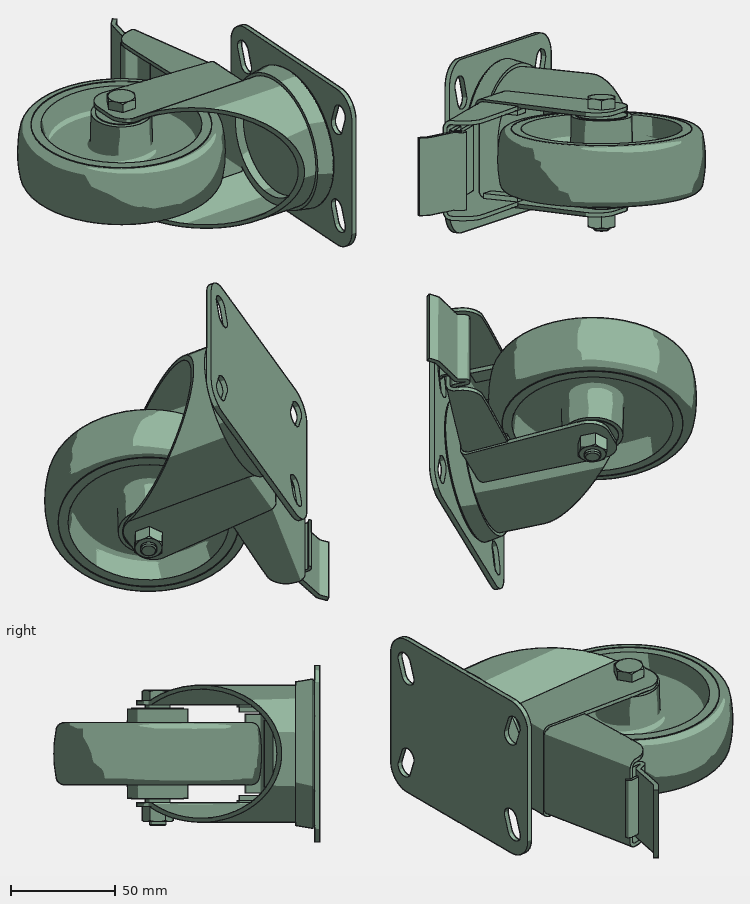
import cadquery as cq
import math


sheet = 2.0

plate_length = 100.0
plate_width = 85.0
plate_thickness = 2.5
plate_corner_radius = 12.0
slot_radius = 4.5
slot_outer = (40.0, 30.0)
slot_inner = (37.5, 22.5)

neck_diameter = 70.74
neck_length = 0.7
race_top_diameter = 72.0
race_bottom_diameter = 69.2
race_bottom_y = -11.6
shell_diameter = 66.0
cup_diameter = 54.0
leg_outer_z = 25.5
bridge_top_y = -14.2
bridge_bend_radius = 3.5
leg_top_x = -45.3
leg_widest = (-50.4, -78.0)
leg_bottom_y = -88.0
leg_corner_radius = 10.0
leg_bottom_x = (-40.4, -30.2)
slope_low = (-21.3, -82.2)
slope_high = (33.0, -18.3)

axle_x = -35.0
axle_y = -77.9
wheel_diameter = 100.0
wheel_width = 30.0
tread_edge_z = 12.0
tread_edge_radius = 48.8
tread_side_radius = 44.8
tread_bore = 87.0
rim_step_diameter = 86.8
rim_groove_depth = 0.4
rim_inner_diameter = 77.4
rim_draft = 1.3
rim_fillet = 3.2
web_half_thickness = 2.5
hub_root_radius = 15.0
hub_end_radius = 14.6
hub_fillet = 3.3
hub_end_z = 21.5
hub_boss_diameter = 25.0
hub_boss_z = 21.9

sleeve_diameter = 12.0
bolt_diameter = 8.0
bolt_tip_diameter = 6.65
hexagon_width = 13.0
hexagon_chamfer_angle = 30.0
head_height = 5.0
nut_height = 7.2
bolt_end_z = -34.6

arm_outer_z = 24.4
channel_front_x = -96.2
channel_front_y = -24.9
channel_rear_y = -14.5
channel_rear_x = leg_top_x
channel_bend_radius = 4.2
arm_front_low = (-95.1, -30.4)
arm_front_middle = (-92.4, -36.4)
arm_bottom_front = (-86.5, -39.8)
arm_bottom_mid_x = -78.3
arm_bottom_rear_y = -38.8
lug_inner_z = 20.0
lug_front_x = -48.0
lug_rear_x = -40.0
lug_top_y = -20.0
lug_bottom_y = -38.8

pedal_half_width = 19.0
pedal_tip = (-116.99, -23.2)
pedal_knee = (-113.3, -26.6)
pedal_dip = (-96.1, -30.1)
pedal_nose_front = (-94.5, -34.8)
pedal_nose_rear = (-92.2, -34.8)
pedal_bend_radii = [4.0, 1.25, 1.25, 1.25, 1.25]
pedal_thickness = 2.4
pedal_strip_rear_x = -81.4
shoe_half_width = 16.0
shoe_front_x = -83.0
shoe_rear_x = -62.5
shoe_thickness = 2.5
hook_thickness = 1.4
hook_path = [(-97.6, -29.5), (-97.9, -24.0), (-97.0, -22.1), (-96.1, -22.9)]
hook_bend_radii = [0.85, 0.8]

race_top_y = -plate_thickness - neck_length
shell_radius = shell_diameter / 2
pocket_radius = shell_radius - sheet
wheel_half_width = wheel_width / 2
tread_shoulder_rise = wheel_half_width - tread_edge_z
tread_shoulder_run = tread_edge_radius - tread_side_radius
tread_shoulder_radius = (tread_shoulder_run**2 + tread_shoulder_rise**2) / (2 * tread_shoulder_rise)
leg_inner_z = leg_outer_z - sheet
bridge_bottom_y = bridge_top_y - sheet
arm_inner_z = arm_outer_z - sheet
roof_slope = (channel_rear_y - channel_front_y) / (channel_rear_x - channel_front_x)
roof_drop = sheet * math.hypot(1, roof_slope)


def leg_edge_x(y):
    """X of the straight front edge of the fork legs at height y."""
    share = (y - bridge_top_y) / (leg_widest[1] - bridge_top_y)
    return leg_top_x + share * (leg_widest[0] - leg_top_x)


def roof_y(x):
    """Y of the top of the sloping brake channel roof at x."""
    return channel_front_y + roof_slope * (x - channel_front_x)


def cylinder_y(diameter, y_top, y_bottom):
    """Cylinder about the swivel axis."""
    plane = cq.Workplane("XZ", origin=(0, y_top, 0))
    return plane.circle(diameter / 2).extrude(y_top - y_bottom)


def block(x0, x1, y0, y1, z0, z1):
    """Axis-aligned block between the given limits."""
    return cq.Workplane("XY").box(x1 - x0, y1 - y0, z1 - z0, centered=False).translate((x0, y0, z0))


def bent_sheet(path, bend_radii, thickness, half_width):
    """Sheet of constant thickness along a path in XY, with one mid-plane radius for each bend."""

    def beside(point, heading, distance):
        return (point[0] - distance * math.sin(heading), point[1] + distance * math.cos(heading))

    headings = [math.atan2(q[1] - p[1], q[0] - p[0]) for p, q in zip(path, path[1:])]
    half = thickness / 2
    outline = cq.Workplane("XY").moveTo(*beside(path[0], headings[0], half))

    for way in (1, -1):
        points = path[::way]
        directions = headings if way == 1 else [h + math.pi for h in headings[::-1]]
        for i, radius in enumerate(bend_radii[::way]):
            heading_in = directions[i]
            turn = math.remainder(directions[i + 1] - heading_in, 2 * math.pi)
            trim = radius * math.tan(abs(turn) / 2)
            start = (
                points[i + 1][0] - trim * math.cos(heading_in),
                points[i + 1][1] - trim * math.sin(heading_in),
            )
            signed_radius = math.copysign(radius, turn)
            centre = beside(start, heading_in, signed_radius)
            side_radius = half - signed_radius
            outline = outline.lineTo(*beside(centre, heading_in, side_radius)).threePointArc(
                beside(centre, heading_in + turn / 2, side_radius),
                beside(centre, heading_in + turn, side_radius),
            )
        outline = outline.lineTo(*beside(points[-1], directions[-1], half))
        if way == 1:
            outline = outline.lineTo(*beside(points[-1], directions[-1], -half))
    return outline.close().extrude(half_width, both=True)


def make_plate():
    plate = (
        cq.Workplane("XZ")
        .rect(plate_length, plate_width)
        .extrude(plate_thickness)
        .edges("|Y")
        .fillet(plate_corner_radius)
    )
    middle_x = (slot_outer[0] + slot_inner[0]) / 2
    middle_z = (slot_outer[1] + slot_inner[1]) / 2
    run = slot_outer[0] - slot_inner[0]
    rise = slot_outer[1] - slot_inner[1]
    length = math.hypot(run, rise) + 2 * slot_radius
    angle = math.degrees(math.atan2(rise, run))
    for sx in (-1, 1):
        for sz in (-1, 1):
            slot = (
                cq.Workplane("XZ")
                .center(sx * middle_x, sz * middle_z)
                .slot2D(length, 2 * slot_radius, sx * sz * angle)
                .extrude(plate_thickness)
            )
            plate = plate.cut(slot)
    return plate


def fork_side_outline():
    """Side outline of the shell and legs, which trims the fork along Z."""
    return (
        cq.Workplane("XY")
        .moveTo(leg_top_x, bridge_top_y)
        .lineTo(*leg_widest)
        .radiusArc((leg_bottom_x[0], leg_bottom_y), -leg_corner_radius)
        .lineTo(leg_bottom_x[1], leg_bottom_y)
        .radiusArc(slope_low, -leg_corner_radius)
        .lineTo(*slope_high)
        .lineTo(slope_high[0], race_bottom_y)
        .lineTo(-shell_radius, race_bottom_y)
        .lineTo(-shell_radius, bridge_top_y)
        .close()
        .extrude(shell_diameter, both=True)
    )


def make_fork():
    outer_channel = (
        block(2 * leg_top_x, 0, leg_bottom_y, bridge_top_y, -leg_outer_z, leg_outer_z)
        .edges("|X and >Y")
        .fillet(bridge_bend_radius)
    )
    inner_channel = (
        block(2 * leg_top_x, 0, leg_bottom_y, bridge_bottom_y, -leg_inner_z, leg_inner_z)
        .edges("|X and >Y")
        .fillet(bridge_bend_radius - sheet)
    )
    shell = cylinder_y(shell_diameter, race_bottom_y, leg_bottom_y)
    pocket = cylinder_y(2 * pocket_radius, bridge_bottom_y, leg_bottom_y)
    cup = cylinder_y(cup_diameter, race_bottom_y, bridge_bottom_y)
    body = shell.union(outer_channel).cut(pocket).cut(cup).cut(inner_channel)
    body = body.intersect(fork_side_outline())
    race = (
        cq.Workplane("XY")
        .moveTo(0, -plate_thickness)
        .lineTo(neck_diameter / 2, -plate_thickness)
        .lineTo(neck_diameter / 2, race_top_y)
        .lineTo(race_top_diameter / 2, race_top_y)
        .lineTo(race_bottom_diameter / 2, race_bottom_y)
        .lineTo(0, race_bottom_y)
        .close()
        .revolve(360, (0, 0, 0), (0, 1, 0))
    )
    bolt_holes = cq.Workplane("XY").center(axle_x, axle_y).circle(bolt_diameter / 2)
    bolt_holes = bolt_holes.extrude(leg_outer_z, both=True)
    return race.union(body).cut(bolt_holes)


def make_hub():
    rim_foot_radius = rim_inner_diameter / 2 - rim_draft
    profile = (
        cq.Workplane("XZ")
        .moveTo(sleeve_diameter / 2, 0)
        .lineTo(tread_bore / 2, 0)
        .lineTo(tread_bore / 2, wheel_half_width - rim_groove_depth)
        .lineTo(rim_step_diameter / 2, wheel_half_width - rim_groove_depth)
        .lineTo(rim_step_diameter / 2, wheel_half_width)
        .lineTo(rim_inner_diameter / 2, wheel_half_width)
        .lineTo(rim_foot_radius, web_half_thickness + rim_fillet)
        .radiusArc((rim_foot_radius - rim_fillet, web_half_thickness), rim_fillet)
        .lineTo(hub_root_radius + hub_fillet, web_half_thickness)
        .radiusArc((hub_root_radius, web_half_thickness + hub_fillet), hub_fillet)
        .lineTo(hub_end_radius, hub_end_z)
        .lineTo(hub_boss_diameter / 2, hub_end_z)
        .lineTo(hub_boss_diameter / 2, hub_boss_z)
        .lineTo(sleeve_diameter / 2, hub_boss_z)
        .close()
    )
    half = profile.revolve(360, (0, 0, 0), (0, 1, 0))
    return half.union(half.mirror("XY")).translate((axle_x, axle_y, 0))


def make_tread():
    profile = (
        cq.Workplane("XZ")
        .moveTo(tread_bore / 2, wheel_half_width)
        .lineTo(tread_bore / 2, -wheel_half_width)
        .lineTo(tread_side_radius, -wheel_half_width)
        .radiusArc((tread_edge_radius, -tread_edge_z), -tread_shoulder_radius)
        .threePointArc((wheel_diameter / 2, 0), (tread_edge_radius, tread_edge_z))
        .radiusArc((tread_side_radius, wheel_half_width), -tread_shoulder_radius)
        .close()
    )
    return profile.revolve(360, (0, 0, 0), (0, 1, 0)).translate((axle_x, axle_y, 0))


def hexagon(height):
    """Hexagonal prism standing on the XY plane, with two flats parallel to Y."""
    corner_diameter = hexagon_width / math.cos(math.pi / 6)
    prism = cq.Workplane("XY").polygon(6, corner_diameter).extrude(height)
    return prism.rotate((0, 0, 0), (0, 0, 1), 30)


def chamfer_cone(height):
    """Solid cone on the XY plane that trims the corners of a hexagon down to the inscribed circle."""
    face_radius = hexagon_width / 2
    base_radius = face_radius + height / math.tan(math.radians(hexagon_chamfer_angle))
    profile = cq.Workplane("XZ").polyline([(0, 0), (base_radius, 0), (face_radius, height), (0, height)])
    return profile.close().revolve(360, (0, 0, 0), (0, 1, 0))


def make_axle():
    tip_chamfer = (bolt_diameter - bolt_tip_diameter) / 2
    shaft = (
        cq.Workplane("XY", origin=(0, 0, bolt_end_z))
        .circle(bolt_diameter / 2)
        .extrude(leg_outer_z - bolt_end_z)
        .faces("<Z")
        .chamfer(tip_chamfer)
    )
    sleeve = cq.Workplane("XY").circle(sleeve_diameter / 2).extrude(leg_inner_z, both=True)
    head = hexagon(head_height).intersect(chamfer_cone(head_height))
    head = head.translate((0, 0, leg_outer_z))
    nut = hexagon(nut_height).intersect(chamfer_cone(nut_height))
    nut = nut.mirror("XY").translate((0, 0, -leg_outer_z))
    return shaft.union(sleeve).union(head).union(nut).translate((axle_x, axle_y, 0))


def rounded_bar(top_y, half_width, bend_radius):
    """Long bar below top_y with its two upper edges rounded, tilted to the slope of the roof."""
    length = channel_rear_x - channel_front_x
    bar = (
        block(-length, 2 * length, leg_bottom_y, top_y, -half_width, half_width)
        .edges("|X and >Y")
        .fillet(bend_radius)
    )
    tilt = math.degrees(math.atan(roof_slope))
    return bar.rotate((0, 0, 0), (0, 0, 1), tilt).translate((channel_front_x, channel_front_y, 0))


def make_channel():
    side = (
        cq.Workplane("XY")
        .moveTo(channel_front_x, 0)
        .lineTo(channel_front_x, channel_front_y)
        .lineTo(*arm_front_low)
        .threePointArc(arm_front_middle, arm_bottom_front)
        .lineTo(arm_bottom_mid_x, arm_bottom_front[1])
        .lineTo(leg_edge_x(arm_bottom_rear_y), arm_bottom_rear_y)
        .lineTo(channel_rear_x, bridge_top_y)
        .lineTo(channel_rear_x, 0)
        .close()
        .extrude(arm_outer_z, both=True)
    )
    outside = rounded_bar(0, arm_outer_z, channel_bend_radius)
    inside = rounded_bar(-sheet, arm_inner_z, channel_bend_radius - sheet)
    return outside.cut(inside).intersect(side)


def make_lugs():
    lug = block(lug_front_x, lug_rear_x, lug_bottom_y, lug_top_y, lug_inner_z, arm_inner_z)
    return lug.union(lug.mirror("XY"))


def make_pedal():
    """Pedal sheet: tip, foot plate, rounded nose, riser and a strip against the channel roof."""
    strip_drop = roof_drop * (1 + pedal_thickness / (2 * sheet))
    strip_front = (pedal_nose_rear[0], roof_y(pedal_nose_rear[0]) - strip_drop)
    strip_rear = (pedal_strip_rear_x, roof_y(pedal_strip_rear_x) - strip_drop)
    path = [pedal_tip, pedal_knee, pedal_dip, pedal_nose_front, pedal_nose_rear, strip_front, strip_rear]
    return bent_sheet(path, pedal_bend_radii, pedal_thickness, pedal_half_width)


def make_shoe():
    drop = roof_drop * (1 + shoe_thickness / (2 * sheet))
    path = [(x, roof_y(x) - drop) for x in (shoe_front_x, shoe_rear_x)]
    return bent_sheet(path, [], shoe_thickness, shoe_half_width)


def make_brake():
    hook = bent_sheet(hook_path, hook_bend_radii, hook_thickness, shoe_half_width)
    return make_channel().union(make_lugs()).union(make_pedal()).union(make_shoe()).union(hook)


plate = make_plate()
fork = make_fork()
brake = make_brake()
hub = make_hub()
tread = make_tread()
axle = make_axle()

result = cq.Compound.makeCompound(
    [plate.val(), fork.val(), brake.val(), hub.val(), tread.val(), axle.val()]
)